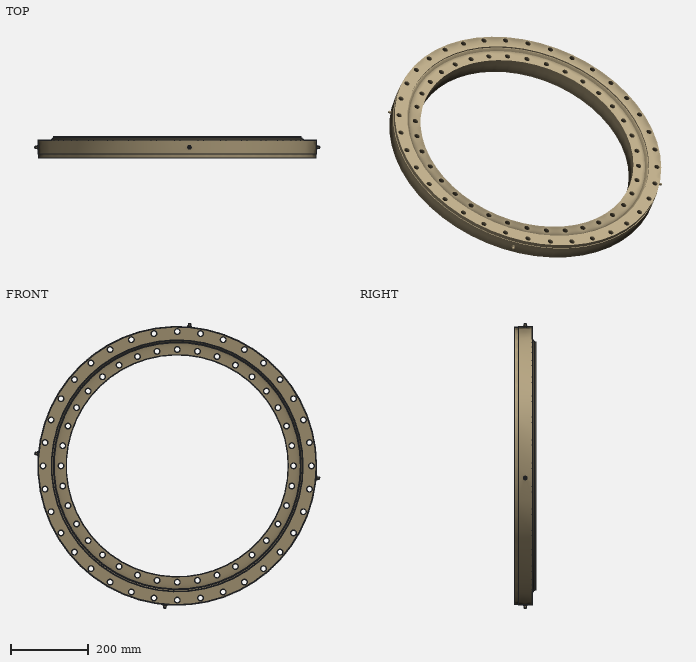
import cadquery as cq
import math


overall_width = 733

total_height = 56.0
ring_height = 46.0
front_y = -total_height / 2
rear_y = total_height / 2
outer_rear_y = front_y + ring_height
inner_front_y = rear_y - ring_height
spigot_length = 11.0

outer_radius = 358.0
outer_spigot_radius = 357.0
outer_bore_radius = 324.0
inner_ring_radius = 319.0
inner_bore_radius = 285.0
inner_spigot_radius = 286.0

seal_height = 5.0
seal_rim_width = 1.5
seal_depth = 4.5
front_seal_lip_radius = 316.5
rear_seal_lip_radius = 326.0

bolt_count = 36
bolt_hole_diameter = 14.0
outer_bolt_circle_radius = 345.0
inner_bolt_circle_radius = 299.0

nipple_count = 4
nipple_angle = 360 / bolt_count / 2
nipple_hex_flats = 9.0
nipple_hex_height = 2.0
nipple_head_diameter = 6.5
nipple_tip_chamfer = 1.5
nipple_shank_diameter = 6.0
nipple_shank_length = 9.0
nipple_tilt = math.radians(nipple_angle)
nipple_tip_flat_radius = nipple_head_diameter / 2 - nipple_tip_chamfer
nipple_tip_radius = (
    overall_width / 2 - nipple_tip_flat_radius * math.sin(nipple_tilt)
) / math.cos(nipple_tilt)


def revolved(points):
    """Revolve a closed (radius, y) outline about the Y axis."""
    return cq.Workplane("XY").polyline(points).close().revolve(360, (0, 0, 0), (0, 1, 0))


def bolt_holes(circle_radius):
    """Cutters for one circle of through holes parallel to Y."""
    return (
        cq.Workplane("XZ", origin=(0, rear_y, 0))
        .polarArray(circle_radius, 0, 360, bolt_count)
        .circle(bolt_hole_diameter / 2)
        .extrude(total_height)
    )


def around_ring(shape):
    """Copies of a shape built along +X, one for each grease nipple position."""
    pitch = 360 / nipple_count
    return [shape.rotate((0, 0, 0), (0, 1, 0), nipple_angle + i * pitch) for i in range(nipple_count)]


def nipple_shank():
    """Stem from the outer surface inwards, also the shape of the hole that takes it."""
    start = outer_radius - nipple_shank_length
    return (
        cq.Workplane("YZ", origin=(start, 0, 0))
        .circle(nipple_shank_diameter / 2)
        .extrude(nipple_shank_length)
    )


def grease_nipple():
    """Shank, hexagon with two flats facing along Y, and round head."""
    hex_corners = nipple_hex_flats / math.cos(math.pi / 6)
    hexagon = (
        cq.Workplane("YZ", origin=(outer_radius, 0, 0))
        .transformed(rotate=(0, 0, 90))
        .polygon(6, hex_corners)
        .extrude(nipple_hex_height)
    )
    head = (
        cq.Workplane("YZ", origin=(outer_radius, 0, 0))
        .circle(nipple_head_diameter / 2)
        .extrude(nipple_tip_radius - outer_radius)
        .faces(">X")
        .chamfer(nipple_tip_chamfer)
    )
    return nipple_shank().union(hexagon).union(head)


def make_outer_ring():
    """Ring flush with the front, with a centring land at its front edge and nipple holes."""
    step_y = front_y + spigot_length
    ring = revolved([
        (outer_bore_radius, front_y),
        (outer_spigot_radius, front_y),
        (outer_spigot_radius, step_y),
        (outer_radius, step_y),
        (outer_radius, outer_rear_y),
        (outer_bore_radius, outer_rear_y),
    ]).cut(bolt_holes(outer_bolt_circle_radius))
    for shank in around_ring(nipple_shank()):
        ring = ring.cut(shank)
    return ring


def make_inner_ring():
    """Ring flush with the rear, with a centring land at the rear of its bore."""
    step_y = rear_y - spigot_length
    return revolved([
        (inner_bore_radius, inner_front_y),
        (inner_ring_radius, inner_front_y),
        (inner_ring_radius, rear_y),
        (inner_spigot_radius, rear_y),
        (inner_spigot_radius, step_y),
        (inner_bore_radius, step_y),
    ]).cut(bolt_holes(inner_bolt_circle_radius))


def make_front_seal():
    """Seal in the gap, with a conical lip on the front face of the inner ring."""
    return revolved([
        (outer_bore_radius - seal_rim_width, inner_front_y - seal_height),
        (outer_bore_radius, inner_front_y - seal_height),
        (outer_bore_radius, inner_front_y + seal_depth),
        (inner_ring_radius, inner_front_y + seal_depth),
        (inner_ring_radius, inner_front_y),
        (front_seal_lip_radius, inner_front_y),
    ])


def make_rear_seal():
    """Seal in the gap, with a conical lip on the rear face of the outer ring."""
    return revolved([
        (inner_ring_radius + seal_rim_width, outer_rear_y + seal_height),
        (inner_ring_radius, outer_rear_y + seal_height),
        (inner_ring_radius, outer_rear_y - seal_depth),
        (outer_bore_radius, outer_rear_y - seal_depth),
        (outer_bore_radius, outer_rear_y),
        (rear_seal_lip_radius, outer_rear_y),
    ])


outer_ring = make_outer_ring()
inner_ring = make_inner_ring()
front_seal = make_front_seal()
rear_seal = make_rear_seal()
nipples = around_ring(grease_nipple())

result = cq.Compound.makeCompound([
    outer_ring.val(),
    inner_ring.val(),
    front_seal.val(),
    rear_seal.val(),
    *[nipple.val() for nipple in nipples],
])